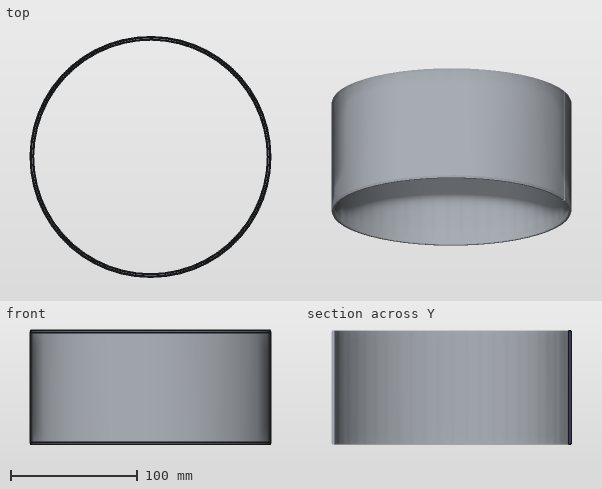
import cadquery as cq

outer_diameter = 190.0
height = 90.0
wall = 2.5
bevel_radial = 0.5
bevel_height = 1.7
inner_chamfer = 0.4
split_width = 1.5

outer_radius = outer_diameter / 2
inner_radius = outer_radius - wall
outer_rim_radius = outer_radius - bevel_radial
inner_rim_radius = inner_radius + inner_chamfer
half_height = height / 2
bevel_start = half_height - bevel_height
chamfer_start = half_height - inner_chamfer


def make_ring():
    """Thin-walled ring with steep outer bevels and small inner chamfers on both rims."""
    wall_section = [
        (inner_radius, -chamfer_start),
        (inner_rim_radius, -half_height),
        (outer_rim_radius, -half_height),
        (outer_radius, -bevel_start),
        (outer_radius, bevel_start),
        (outer_rim_radius, half_height),
        (inner_rim_radius, half_height),
        (inner_radius, chamfer_start),
    ]
    return cq.Workplane("XZ").polyline(wall_section).close().revolve(360, (0, 0), (0, 1))


def make_split():
    """Cutter for the full-height split on the -X side, with one face on the ring axis plane."""
    cutter_depth = 4 * wall
    return cq.Workplane("XY").box(
        cutter_depth, split_width, height, centered=(True, False, True)
    ).translate((-outer_radius, 0, 0))


result = make_ring().cut(make_split())